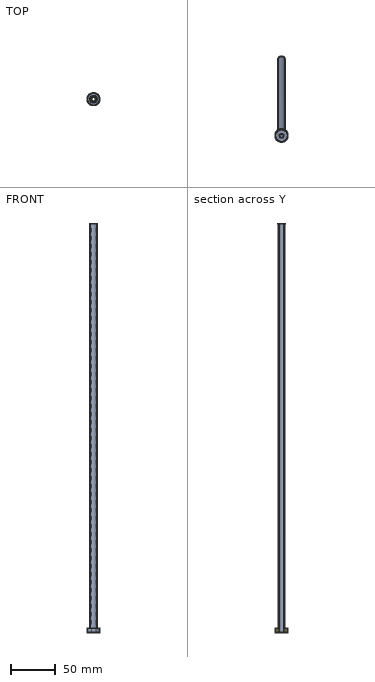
import cadquery as cq
import math

total_length = 455.0
head_diameter = 14.0
head_thickness = 5.0
shaft_diameter = 8.0
bore_diameter = 4.5
neck_fillet_radius = 0.5

head_radius = head_diameter / 2
shaft_radius = shaft_diameter / 2


def make_headed_shaft():
    """Solid head and shaft, revolved about Z, with a concave fillet at the neck."""
    fillet_outer_radius = shaft_radius + neck_fillet_radius
    fillet_top = head_thickness + neck_fillet_radius
    arc_inset = neck_fillet_radius * math.sin(math.radians(45))
    fillet_middle = (fillet_outer_radius - arc_inset, fillet_top - arc_inset)
    half_profile = (
        cq.Workplane("XZ")
        .moveTo(0, 0)
        .lineTo(head_radius, 0)
        .lineTo(head_radius, head_thickness)
        .lineTo(fillet_outer_radius, head_thickness)
        .threePointArc(fillet_middle, (shaft_radius, fillet_top))
        .lineTo(shaft_radius, total_length)
        .lineTo(0, total_length)
        .close()
    )
    return half_profile.revolve(360, (0, 0, 0), (0, 1, 0))


def cut_bore(body):
    """Straight bore through the full length."""
    bore = cq.Workplane("XY").circle(bore_diameter / 2).extrude(total_length)
    return body.cut(bore)


result = cut_bore(make_headed_shaft())